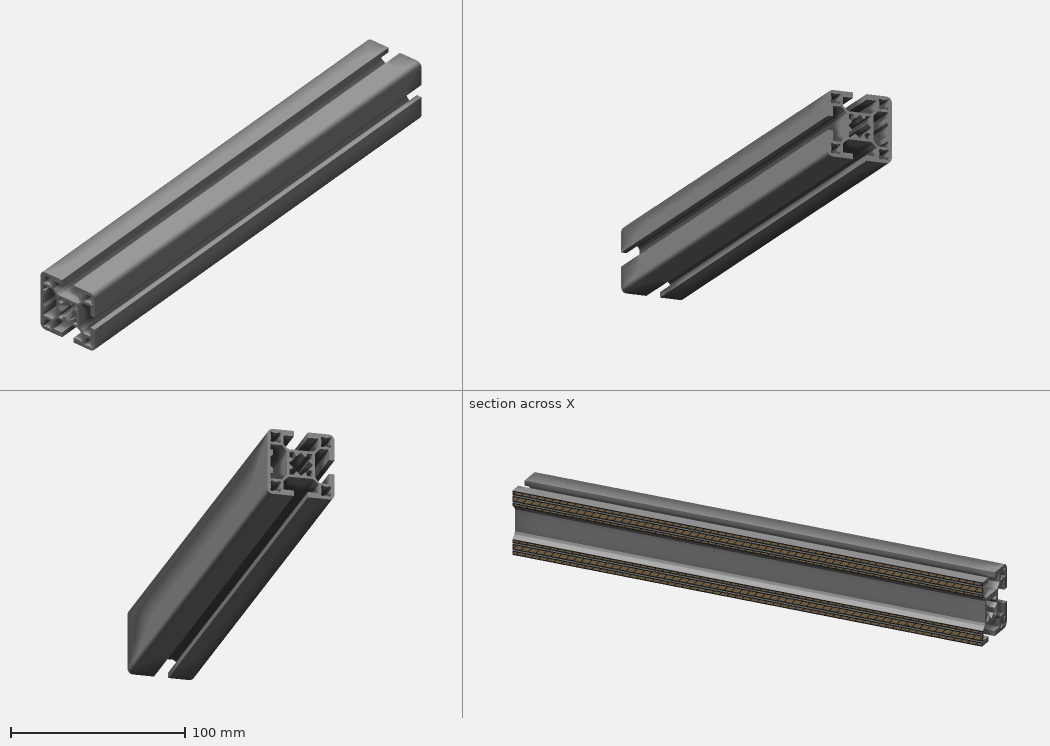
import cadquery as cq

length = 300.0
side = 40.0
half_side = side / 2
corner_radius = 3.3

mouth_half_width = 4.2
lip_thickness = 3.3
slot_half_width = 10.5
core_half_width = 8.5

web_offset = 1.0
flare_start = 8.5
flare_end = 7.0

closed_wall = 1.8
rib_height = 1.5
rib_outer = 7.2
rib_inner = 4.2

bore_half_width = 7.0
bore_tooth_start = 4.0
bore_tooth_tip_outer = 3.0
bore_tooth_tip_inner = 2.5
bore_tooth_tip_height = 4.8
bore_valley = 7.2

chamber_center = 15.0
chamber_width = 6.3
chamber_half_width = chamber_width / 2
chamber_chamfer = 0.5
chamber_tooth_base_half_width = 1.8
chamber_tooth_tip_half_width = 1.2
chamber_tooth_height = 0.45

open_side_angles = (0, 90, 180)
closed_side_angle = 270
side_angles = open_side_angles + (closed_side_angle,)


def prism(points):
    """Extrude a closed outline in the XZ plane over the full length, centred on Y."""
    return cq.Workplane("XZ").polyline(points).close().extrude(length / 2, both=True)


def mirrored(points):
    """Complete a left-hand run of points with its mirror image about X = 0."""
    return points + [(-x, z) for x, z in reversed(points)]


def turned(points, quarter_turns):
    """Turn points about the profile centre by clockwise quarter turns."""
    for _ in range(quarter_turns):
        points = [(z, -x) for x, z in points]
    return points


def spin(body, angle):
    return body.rotate((0, 0, 0), (0, 1, 0), angle)


slot_floor = [
    (-slot_half_width, slot_half_width + web_offset),
    (-flare_start, flare_start + web_offset),
    (-flare_end, core_half_width),
]


def open_slot():
    lip_bottom = half_side - lip_thickness
    left_half = [
        (-mouth_half_width, half_side),
        (-mouth_half_width, lip_bottom),
        (-slot_half_width, lip_bottom),
    ]
    return prism(mirrored(left_half + slot_floor))


def closed_slot():
    ceiling = half_side - closed_wall
    rib_tip = ceiling - rib_height
    left_half = [
        (-rib_inner + rib_height, ceiling),
        (-rib_inner, rib_tip),
        (-rib_outer, rib_tip),
        (-rib_outer, ceiling),
        (-slot_half_width, ceiling),
    ]
    return prism(mirrored(left_half + slot_floor))


def screw_bore():
    quarter = [
        (-bore_half_width, bore_half_width),
        (-bore_tooth_start, bore_half_width),
        (-bore_tooth_tip_outer, bore_tooth_tip_height),
        (-bore_tooth_tip_inner, bore_tooth_tip_height),
        (0, bore_valley),
        (bore_tooth_tip_inner, bore_tooth_tip_height),
        (bore_tooth_tip_outer, bore_tooth_tip_height),
        (bore_tooth_start, bore_half_width),
    ]
    outline = []
    for turn in range(len(side_angles)):
        outline += turned(quarter, turn)
    return prism(outline)


def corner_chamber():
    """Chamber of the +X +Z corner: a blunt tooth on each wall, chamfers except at the outermost corner."""
    chamfer_start = chamber_half_width - chamber_chamfer
    tooth_tip = chamber_half_width - chamber_tooth_height
    wall = [
        (-chamfer_start, chamber_half_width),
        (-chamber_tooth_base_half_width, chamber_half_width),
        (-chamber_tooth_tip_half_width, tooth_tip),
        (chamber_tooth_tip_half_width, tooth_tip),
        (chamber_tooth_base_half_width, chamber_half_width),
    ]
    chamfered_end = [(chamfer_start, chamber_half_width)]
    outline = wall + [(chamber_half_width, chamber_half_width)]
    outline += turned(wall[1:] + chamfered_end, 1)
    outline += turned(wall + chamfered_end, 2)
    outline += turned(wall + chamfered_end, 3)
    return prism([(x + chamber_center, z + chamber_center) for x, z in outline])


result = cq.Workplane("XY").box(side, length, side).edges("|Y").fillet(corner_radius)
for angle in open_side_angles:
    result = result.cut(spin(open_slot(), angle))
result = result.cut(spin(closed_slot(), closed_side_angle))
result = result.cut(screw_bore())
for angle in side_angles:
    result = result.cut(spin(corner_chamber(), angle))